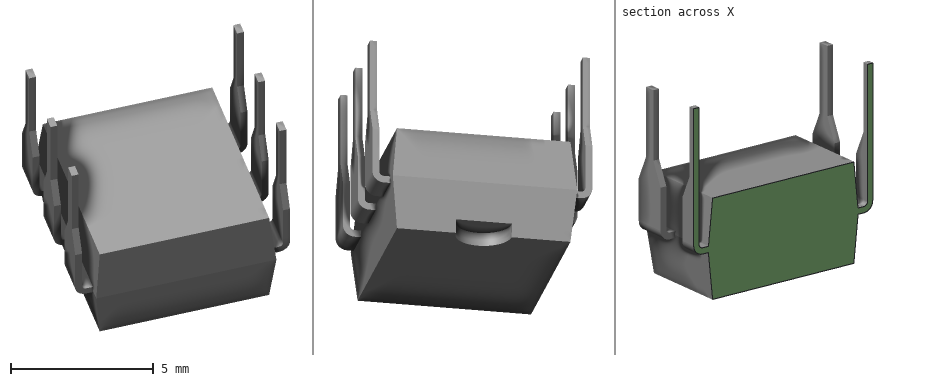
import cadquery as cq

body_length = 7.26
body_width = 6.6
body_height = 3.79
parting_height = body_height / 2
end_inset = 0.23
side_inset = 0.2

lead_span = 7.87
lead_top = 7.3
lead_pitch = 2.54
lead_thickness = 0.25
lead_width = 1.275
pin_width = 0.44
taper_start = body_height
taper_end = 4.68
bend_inner_radius = 0.15
bend_outer_radius = bend_inner_radius + lead_thickness
lead_bottom = 1.79
lead_embed = 0.16

notch_radius = 1.0
notch_depth = 0.49


def body_half(end_height):
    """Tapered half running from the parting plane to the given height."""
    return (
        cq.Workplane("XY", origin=(0, 0, parting_height))
        .rect(body_length, body_width)
        .workplane(offset=end_height - parting_height)
        .rect(body_length - 2 * end_inset, body_width - 2 * side_inset)
        .loft(ruled=True)
    )


def make_lead():
    """Lead on the +Y side, centred on X = 0."""
    outer_y = lead_span / 2
    inner_y = outer_y - lead_thickness
    root_y = body_width / 2 - lead_embed
    bend_y = outer_y - bend_outer_radius
    bend_z = lead_bottom + bend_outer_radius
    diagonal = 0.5 ** 0.5
    outer_mid = bend_outer_radius * diagonal
    inner_mid = bend_inner_radius * diagonal
    bent_strip = (
        cq.Workplane("YZ")
        .moveTo(root_y, lead_bottom)
        .lineTo(bend_y, lead_bottom)
        .threePointArc((bend_y + outer_mid, bend_z - outer_mid), (outer_y, bend_z))
        .lineTo(outer_y, lead_top)
        .lineTo(inner_y, lead_top)
        .lineTo(inner_y, bend_z)
        .threePointArc(
            (bend_y + inner_mid, bend_z - inner_mid),
            (bend_y, lead_bottom + lead_thickness),
        )
        .lineTo(root_y, lead_bottom + lead_thickness)
        .close()
        .extrude(lead_width / 2, both=True)
    )
    front_outline = (
        cq.Workplane("XZ")
        .polyline([
            (-lead_width / 2, lead_bottom),
            (lead_width / 2, lead_bottom),
            (lead_width / 2, taper_start),
            (pin_width / 2, taper_end),
            (pin_width / 2, lead_top),
            (-pin_width / 2, lead_top),
            (-pin_width / 2, taper_end),
            (-lead_width / 2, taper_start),
        ])
        .close()
        .extrude(-lead_span)
    )
    return bent_strip.intersect(front_outline)


result = body_half(0).union(body_half(body_height))

notch = (
    cq.Workplane("XY")
    .center(-body_length / 2 + end_inset, 0)
    .circle(notch_radius)
    .extrude(notch_depth)
)
result = result.cut(notch)

lead = make_lead()
opposite_lead = lead.mirror("XZ")
for position in (-1, 0, 1):
    offset = (position * lead_pitch, 0, 0)
    result = result.union(lead.translate(offset))
    result = result.union(opposite_lead.translate(offset))